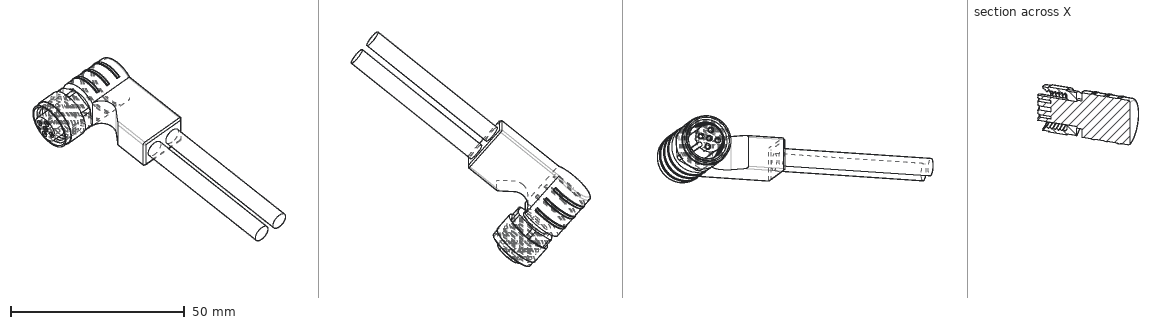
import cadquery as cq
import math


barrel_radius = 7.1
housing_depth = 15.0
block_half_height = 4.9
block_end_x = 27.0
edge_round = 0.6
end_chamfer = 0.55

ridge_radius = 7.3
ridge_base_width = 1.1
ridge_crest_width = 0.55
ridge_spacing = 4.0
ridge_count = 3
ridge_end_x = 3.9

notch_radius = 4.3
notch_center_x = 9.4
notch_center_y = -15.4
notch_arc_end_x = 11.65
notch_end_x = 15.9

cable_radius = 2.5
cable_pitch = 7.0
cable_end_x = 71.9

nut_rear_y = -16.55
collar_rear_y = -19.65
rim_rear_y = -25.2
nut_front_y = -27.1
insert_front_y = -28.6

neck_radius = 4.5
insert_radius = 4.0
socket_count = 4
socket_circle_radius = 2.5
socket_mouth_radius = 0.9
socket_radius = 0.55
socket_depth = 3.95
contact_angle = -10.0
keyway_angle = contact_angle + 225.0
keyway_radius = 0.7
keyway_circle_radius = 3.6

collar_radius = 7.2
rim_radius = 7.0
hex_across_flats = 12.5
hex_corner_radius = 6.9
hex_angle = 3.8
thread_root_radius = 6.0
thread_crest_radius = 5.4
thread_pitch = 1.0
thread_turns = 6
nut_mouth_radius = 6.5
nut_mouth_depth = 0.8
thread_start_y = nut_front_y + nut_mouth_depth
nut_floor_y = thread_start_y + (thread_turns + 0.5) * thread_pitch


def cylinder_y(radius, y_front, y_rear, x=0.0, z=0.0):
    """Cylinder parallel to Y, from y_front up to y_rear."""
    base = cq.Workplane("XZ", origin=(x, y_rear, z))
    return base.circle(radius).extrude(y_rear - y_front)


def revolve_about_y(points):
    """Turn a closed (radius, y) outline round the connector axis."""
    return cq.Workplane("XY").polyline(points).close().revolve(360, (0, 0), (0, 1))


def polar_xz(radius, degrees):
    """X and Z of a point at an angle from +X toward +Z."""
    angle = math.radians(degrees)
    return radius * math.cos(angle), radius * math.sin(angle)


def make_notch():
    arc_rise = math.sqrt(notch_radius**2 - (notch_arc_end_x - notch_center_x) ** 2)
    arc_end_y = notch_center_y + arc_rise
    return (
        cq.Workplane("XY", origin=(0, 0, -block_half_height))
        .moveTo(notch_center_x - notch_radius, notch_center_y)
        .threePointArc(
            (notch_center_x, notch_center_y + notch_radius),
            (notch_arc_end_x, arc_end_y),
        )
        .lineTo(notch_end_x, -housing_depth)
        .lineTo(notch_end_x, notch_center_y)
        .close()
        .extrude(2 * block_half_height)
    )


def make_block():
    block = cq.Workplane("XY").box(
        block_end_x, housing_depth, 2 * block_half_height, centered=(False, False, True)
    )
    block = block.translate((0, -housing_depth, 0))
    block = block.edges("|X").fillet(edge_round)
    return block.faces(">X").edges().chamfer(end_chamfer)


def make_barrel():
    barrel = cylinder_y(barrel_radius, -housing_depth, 0)
    return barrel.faces(">Y").edges().fillet(edge_round)


def make_ridge(center_y):
    """Grip ridge that stops short of the block; its ring reaches inside the barrel."""
    half_base = ridge_base_width / 2
    half_crest = ridge_crest_width / 2
    ring = revolve_about_y([
        (neck_radius, center_y - half_base),
        (barrel_radius, center_y - half_base),
        (ridge_radius, center_y - half_crest),
        (ridge_radius, center_y + half_crest),
        (barrel_radius, center_y + half_base),
        (neck_radius, center_y + half_base),
    ])
    side = 2 * ridge_radius
    kept_zone = cq.Workplane("XY").box(side, ridge_base_width, side)
    return ring.intersect(kept_zone.translate((ridge_end_x - side / 2, center_y, 0)))


def make_socket(x, z):
    """Contact hole with a 45 degree lead-in, opening at the insert face."""
    bottom_y = insert_front_y + socket_depth
    lead_in_y = insert_front_y + socket_mouth_radius - socket_radius
    outline = [
        (0, insert_front_y),
        (socket_mouth_radius, insert_front_y),
        (socket_radius, lead_in_y),
        (socket_radius, bottom_y),
        (0, bottom_y),
    ]
    return revolve_about_y(outline).translate((x, 0, z))


def make_insert():
    insert = cylinder_y(insert_radius, insert_front_y, nut_rear_y)
    insert = insert.cut(make_socket(0, 0))
    for i in range(socket_count):
        angle = contact_angle + i * 360 / socket_count
        insert = insert.cut(make_socket(*polar_xz(socket_circle_radius, angle)))
    key_x, key_z = polar_xz(keyway_circle_radius, keyway_angle)
    return insert.cut(cylinder_y(keyway_radius, insert_front_y, nut_floor_y, key_x, key_z))


def make_cable(center_y):
    base = cq.Workplane("YZ", origin=(block_end_x, center_y, 0))
    return base.circle(cable_radius).extrude(cable_end_x - block_end_x)


def make_cable_connector():
    """Housing, neck, contact insert and both cables as one moulded body."""
    mid_y = -housing_depth / 2
    body = make_barrel().union(make_block()).cut(make_notch())
    for i in range(ridge_count):
        offset = (i - (ridge_count - 1) / 2) * ridge_spacing
        body = body.union(make_ridge(mid_y + offset))
    for side in (-1, 1):
        body = body.union(make_cable(mid_y + side * cable_pitch / 2))
    body = body.union(cylinder_y(neck_radius, nut_rear_y, -housing_depth))
    return body.union(make_insert())


def make_nut_bore():
    """Plain hole for the insert, then V thread rings and a flared mouth."""
    outline = [
        (0, nut_rear_y),
        (insert_radius, nut_rear_y),
        (insert_radius, nut_floor_y),
        (thread_crest_radius, nut_floor_y),
    ]
    for turn in range(thread_turns):
        crest_y = nut_floor_y - turn * thread_pitch
        outline.append((thread_root_radius, crest_y - thread_pitch / 2))
        outline.append((thread_crest_radius, crest_y - thread_pitch))
    outline += [
        (thread_root_radius, thread_start_y),
        (nut_mouth_radius, nut_front_y),
        (0, nut_front_y),
    ]
    return revolve_about_y(outline)


def make_nut():
    """Hexagon with rounded corners, round collar and front rim, bored through."""
    hex_prism = (
        cq.Workplane("XZ", origin=(0, nut_rear_y, 0))
        .polygon(6, hex_across_flats, circumscribed=True)
        .extrude(nut_rear_y - collar_rear_y)
    )
    hex_prism = hex_prism.rotate((0, 0, 0), (0, 1, 0), -hex_angle)
    hex_prism = hex_prism.intersect(cylinder_y(hex_corner_radius, collar_rear_y, nut_rear_y))
    nut = hex_prism.union(cylinder_y(collar_radius, rim_rear_y, collar_rear_y))
    nut = nut.union(cylinder_y(rim_radius, nut_front_y, rim_rear_y))
    return nut.cut(make_nut_bore())


cable_connector = make_cable_connector()
coupling_nut = make_nut()

result = cq.Compound.makeCompound([cable_connector.solids().val(), coupling_nut.solids().val()])